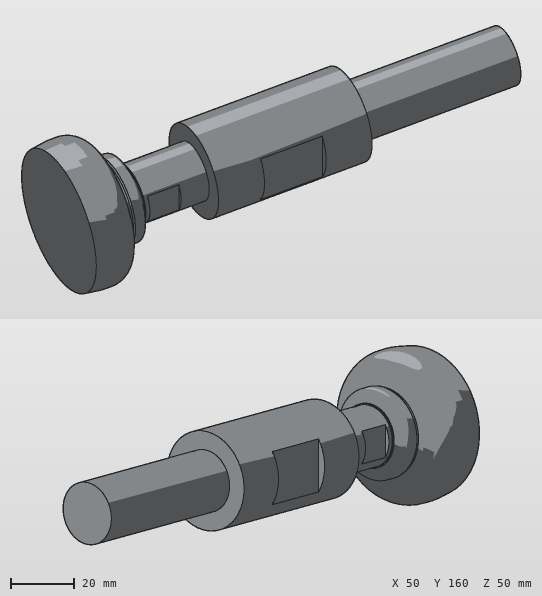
import cadquery as cq

total_length = 160.0

rod_radius = 20.0 / 2
rod_flat_width = 17.0
rod_flat_start = 27.0
rod_flat_length = 11.2

sleeve_radius = 32.0 / 2
sleeve_start = 48.3
sleeve_length = 55.0
sleeve_flat_width = 27.0
sleeve_flat_length = 22.0

foot_radius = 50.0 / 2
underside_radius = 24.2
taper_height = 5.8
shoulder_start = 9.1
shoulder_end = 15.8
shoulder_end_radius = 19.7
cone_end = 17.3
cone_end_radius = 16.2
neck_start = 18.0
neck_radius = 14.4

collar_radius = 14.9
collar_start = 18.7
collar_lower_edge = 19.2
collar_upper_edge = 22.0
collar_cone_start = 23.2
collar_cone_radius = 14.0
collar_rim_start = 25.0
collar_rim_radius = 10.4
collar_top = 25.5


def cylinder(radius, start, length):
    """Cylinder on the Y axis that rises from the given Y."""
    return cq.Workplane("XZ", origin=(0, start, 0)).circle(radius).extrude(-length)


def cut_flats(body, radius, flat_width, start, length):
    """Cut a pair of parallel flats on the -X and +X sides of a round body."""
    depth = radius - flat_width / 2
    for side in (-1, 1):
        block_centre = side * (flat_width / 2 + depth)
        block = cq.Workplane("XY").box(2 * depth, length, 2 * radius)
        body = body.cut(block.translate((block_centre, start + length / 2, 0)))
    return body


def make_foot_and_collar():
    """Revolved foot with a rounded shoulder, a neck and a rounded collar."""
    profile = (
        cq.Workplane("XY")
        .moveTo(0, 0)
        .lineTo(underside_radius, 0)
        .lineTo(foot_radius, taper_height)
        .lineTo(foot_radius, shoulder_start)
        .tangentArcPoint((shoulder_end_radius, shoulder_end), relative=False)
        .lineTo(cone_end_radius, cone_end)
        .lineTo(neck_radius, neck_start)
        .lineTo(neck_radius, collar_start)
        .lineTo(collar_radius, collar_lower_edge)
        .lineTo(collar_radius, collar_upper_edge)
        .tangentArcPoint((collar_cone_radius, collar_cone_start), relative=False)
        .lineTo(collar_rim_radius, collar_rim_start)
        .lineTo(collar_rim_radius, collar_top)
        .lineTo(0, collar_top)
        .close()
    )
    return profile.revolve(360, (0, 0, 0), (0, 1, 0))


def make_spindle():
    """Rod with wrench flats, in one piece with its foot."""
    rod = cylinder(rod_radius, collar_top, total_length - collar_top)
    rod = cut_flats(rod, rod_radius, rod_flat_width, rod_flat_start, rod_flat_length)
    return make_foot_and_collar().union(rod)


def make_sleeve():
    """Sleeve with wrench flats and a through bore that fits the rod."""
    sleeve = cylinder(sleeve_radius, sleeve_start, sleeve_length)
    flat_start = sleeve_start + (sleeve_length - sleeve_flat_length) / 2
    sleeve = cut_flats(sleeve, sleeve_radius, sleeve_flat_width, flat_start, sleeve_flat_length)
    return sleeve.cut(cylinder(rod_radius, sleeve_start, sleeve_length))


spindle = make_spindle()
sleeve = make_sleeve()

result = cq.Compound.makeCompound([spindle.val(), sleeve.val()])